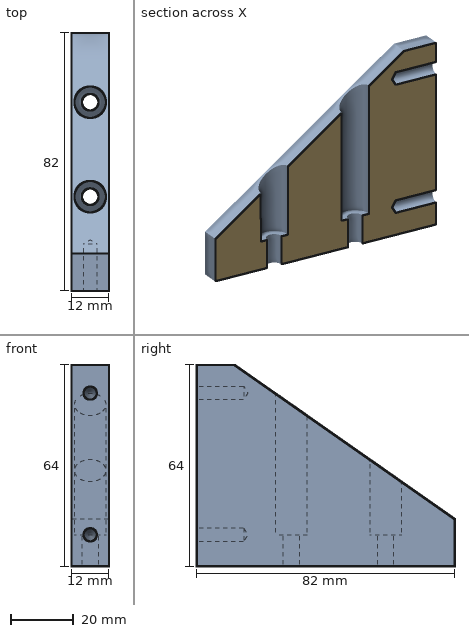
import cadquery as cq
import math

thickness = 12.0
length = 82.0
height = 64.0

top_land = 12.0
short_end_height = 15.0

tapped_diameter = 4.2
tapped_depth = 15.0
drill_point_angle = 118.0
tapped_heights = (10.0, 55.0)

bolt_diameter = 5.2
counterbore_diameter = 10.0
bolt_positions = (30.0, 60.0)
counterbore_floor = 10.0

mid_x = thickness / 2


def plate():
    """Triangular plate with its tall end at Y = 0."""
    outline = [
        (0, 0),
        (length, 0),
        (length, short_end_height),
        (top_land, height),
        (0, height),
    ]
    return cq.Workplane("YZ").polyline(outline).close().extrude(thickness)


def drilled_hole(z):
    """Drill shape entering the tall end along +Y, ending in a cone."""
    radius = tapped_diameter / 2
    point_length = radius / math.tan(math.radians(drill_point_angle / 2))
    half_section = [
        (0, 0),
        (radius, 0),
        (radius, tapped_depth),
        (0, tapped_depth + point_length),
    ]
    drill = cq.Workplane("XY").polyline(half_section).close().revolve(360, (0, 0), (0, 1))
    return drill.translate((mid_x, 0, z))


def counterbored_hole(y):
    """Bolt clearance hole with a counterbore open to the sloped edge."""
    base = cq.Workplane("XY").center(mid_x, y)
    bolt = base.circle(bolt_diameter / 2).extrude(height)
    counterbore = base.workplane(offset=counterbore_floor).circle(counterbore_diameter / 2).extrude(height)
    return bolt.union(counterbore)


result = plate()
for z in tapped_heights:
    result = result.cut(drilled_hole(z))
for y in bolt_positions:
    result = result.cut(counterbored_hole(y))